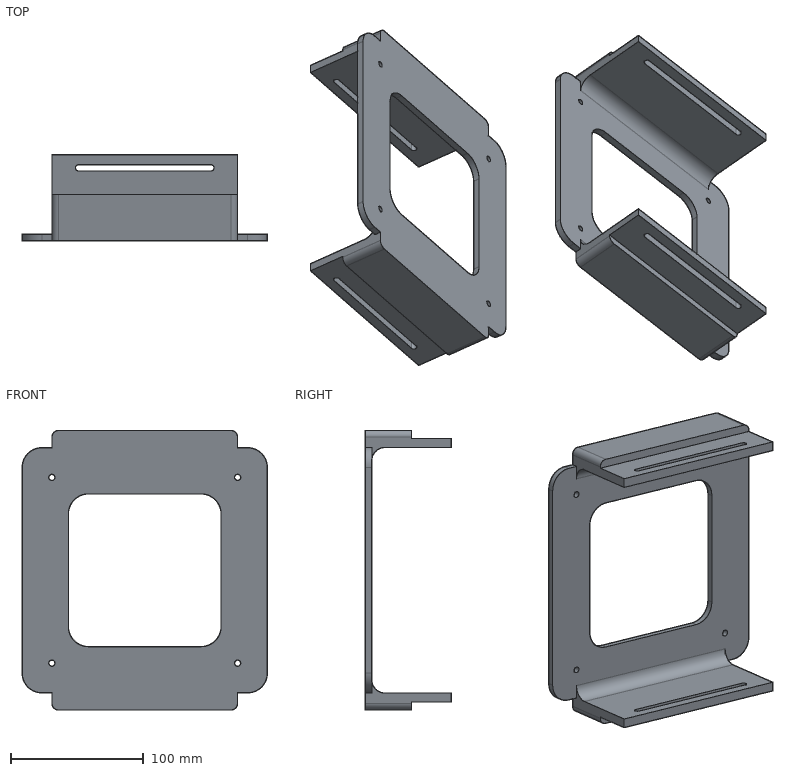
import cadquery as cq

plate_side = 185.0
plate_thickness = 5.0
plate_corner_radius = 15.0
window_side = 115.0
window_corner_radius = 15.0
hole_diameter = 4.5

overall_height = 211
overall_depth = 65.0
flange_width = 140.0
flange_thickness = 7.0
inner_fillet_radius = 10.0

pad_depth = 35.0
pad_corner_radius = 5.0

slot_length = 104.5
slot_width = 4.5
slot_rear_margin = 10.0

half_height = overall_height / 2
flange_inner_z = plate_side / 2
flange_outer_z = flange_inner_z + flange_thickness
hole_spacing = flange_width


def slab(width, height, depth):
    """Block centred on X and Z, running back from the front face."""
    return cq.Workplane("XY").box(width, depth, height, centered=(True, False, True))


def make_plate():
    plate = slab(plate_side, plate_side, plate_thickness)
    return plate.edges("|Y").fillet(plate_corner_radius)


def make_window():
    window = slab(window_side, window_side, plate_thickness)
    return window.edges("|Y").fillet(window_corner_radius)


def make_upper_flange():
    """Flange with its filleted inner corner, extruded across X."""
    profile = (
        cq.Workplane("YZ", origin=(-flange_width / 2, 0, 0))
        .moveTo(0, flange_outer_z)
        .lineTo(overall_depth, flange_outer_z)
        .lineTo(overall_depth, flange_inner_z)
        .lineTo(plate_thickness + inner_fillet_radius, flange_inner_z)
        .radiusArc((plate_thickness, flange_inner_z - inner_fillet_radius), -inner_fillet_radius)
        .lineTo(0, flange_inner_z - inner_fillet_radius)
        .close()
    )
    return profile.extrude(flange_width)


def make_upper_pad():
    pad_height = half_height - flange_inner_z
    pad = slab(flange_width, pad_height, pad_depth)
    pad = pad.edges("|Y and >Z").fillet(pad_corner_radius)
    return pad.translate((0, 0, half_height - pad_height / 2))


upper_side = make_upper_flange().union(make_upper_pad())
lower_side = upper_side.mirror("XY")
bracket = make_plate().union(upper_side).union(lower_side)

slots = (
    cq.Workplane("XY", origin=(0, overall_depth - slot_rear_margin, 0))
    .slot2D(slot_length, slot_width)
    .extrude(half_height, both=True)
)

holes = (
    cq.Workplane("XZ")
    .rect(hole_spacing, hole_spacing, forConstruction=True)
    .vertices()
    .circle(hole_diameter / 2)
    .extrude(-plate_thickness)
)

result = bracket.cut(make_window()).cut(slots).cut(holes)